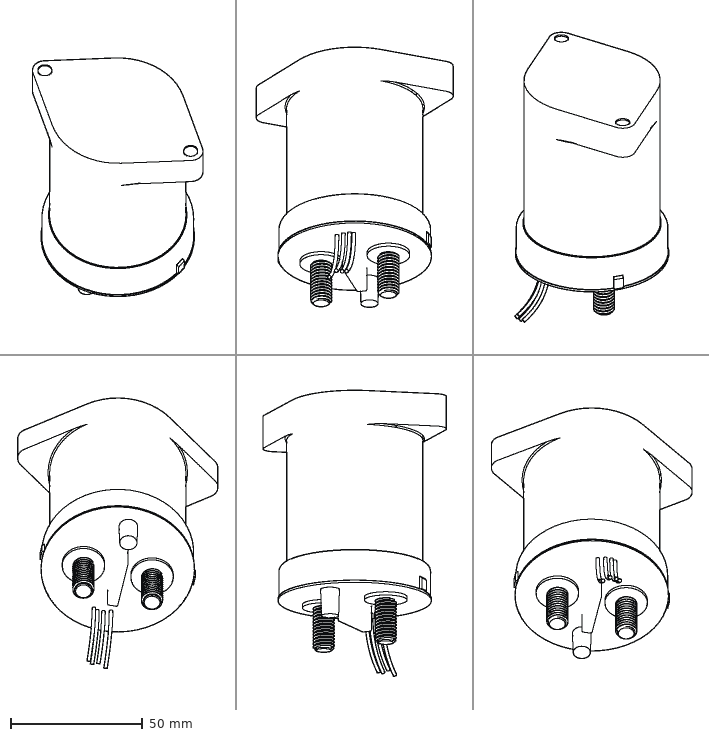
import cadquery as cq
import math

TOTAL_HEIGHT = 99.5
WIRE_REACH_DOWN = 23.3
TOP_Z = TOTAL_HEIGHT - WIRE_REACH_DOWN

BODY_RADIUS = 26.0

EAR_SPAN = 77.7
EAR_HOLE_X = 34.1
EAR_TIP_RADIUS = EAR_SPAN / 2 - EAR_HOLE_X
EAR_THICKNESS = 12.7
EAR_FILLET = 0.6
EAR_HOLE_RADIUS = 2.7
EAR_HOLE_DEPTH = 0.6

CAP_RADIUS = 29.0
CAP_HEIGHT = 13.3
CAP_FILLET = 2.0
LIP_RADIUS = 29.3
LIP_HEIGHT = 0.9
BEAD_RADIUS = 26.4
BEAD_HEIGHT = 0.3

TAB_REACH = 29.9
TAB_WIDTH = 3.8
TAB_TOP_Z = 5.9
TAB_CHAMFER = 0.8

STUD_X = 13.3
WASHER_RADIUS = 16.2 / 2
WASHER_THICKNESS = 1.3
STUD_LENGTH = 18.0
STUD_RADIUS = 4.1
THREAD_ROOT_RADIUS = 3.4
THREAD_TURNS = 13.4
THREAD_PITCH = (STUD_LENGTH - WASHER_THICKNESS) / THREAD_TURNS
THREAD_ROOT_WIDTH = 0.9 * THREAD_PITCH
THREAD_CREST_WIDTH = THREAD_PITCH / 8
THREAD_SINK = 0.1
STUD_TIP_RADIUS = 3.0

BARRIER_THICKNESS = 4.0
BARRIER_WIDTH = 20.5
BARRIER_DEPTH = 10.1
BARRIER_FILLET = 0.6

POST_Y = -20.3
POST_TOP_RADIUS = 3.6
POST_BOTTOM_RADIUS = 3.3
POST_LENGTH = 10.4

WIRE_RADIUS = 0.7
WIRE_END_ANGLE = math.radians(52)
LONGEST_WIRE_DEPTH = WIRE_REACH_DOWN - WIRE_RADIUS * math.sin(WIRE_END_ANGLE)
WIRES = [
    (-5.3, 19.7, 29.8, 20.8),
    (-3.8, 20.5, 30.7, 21.1),
    (-1.4, 20.5, 30.4, 20.4),
    (1.4, 19.7, 30.4, LONGEST_WIRE_DEPTH),
]

OVERLAP = 0.5


def cylinder(radius, bottom, top):
    return cq.Workplane("XY", origin=(0, 0, bottom)).circle(radius).extrude(top - bottom)


def ear_outline():
    """Body circle and two tip circles joined by their common tangent lines."""
    normal_x = (BODY_RADIUS - EAR_TIP_RADIUS) / EAR_HOLE_X
    normal_y = math.sqrt(1 - normal_x**2)
    body_x, body_y = BODY_RADIUS * normal_x, BODY_RADIUS * normal_y
    tip_x = EAR_HOLE_X + EAR_TIP_RADIUS * normal_x
    tip_y = EAR_TIP_RADIUS * normal_y
    end_x = EAR_SPAN / 2
    return (
        cq.Workplane("XY")
        .moveTo(-body_x, body_y)
        .threePointArc((0, BODY_RADIUS), (body_x, body_y))
        .lineTo(tip_x, tip_y)
        .threePointArc((end_x, 0), (tip_x, -tip_y))
        .lineTo(body_x, -body_y)
        .threePointArc((0, -BODY_RADIUS), (-body_x, -body_y))
        .lineTo(-tip_x, -tip_y)
        .threePointArc((-end_x, 0), (-tip_x, tip_y))
        .close()
    )


def make_ears():
    underside_z = TOP_Z - EAR_THICKNESS
    plate = ear_outline().extrude(EAR_THICKNESS).translate((0, 0, underside_z))

    corner = EAR_FILLET * (1 - math.sqrt(0.5))
    fillet_ring = (
        cq.Workplane("XZ")
        .moveTo(BODY_RADIUS - OVERLAP, underside_z - EAR_FILLET)
        .lineTo(BODY_RADIUS, underside_z - EAR_FILLET)
        .threePointArc(
            (BODY_RADIUS + corner, underside_z - corner),
            (BODY_RADIUS + EAR_FILLET, underside_z),
        )
        .lineTo(BODY_RADIUS + EAR_FILLET, underside_z + OVERLAP)
        .lineTo(BODY_RADIUS - OVERLAP, underside_z + OVERLAP)
        .close()
        .revolve(360, (0, 0, 0), (0, 1, 0))
    )
    trim = ear_outline().extrude(EAR_THICKNESS).translate((0, 0, underside_z - EAR_FILLET))
    return plate.union(fillet_ring.intersect(trim))


def ear_holes():
    return (
        cq.Workplane("XY", origin=(0, 0, TOP_Z - EAR_HOLE_DEPTH))
        .pushPoints([(-EAR_HOLE_X, 0), (EAR_HOLE_X, 0)])
        .circle(EAR_HOLE_RADIUS)
        .extrude(EAR_HOLE_DEPTH)
    )


def make_tab():
    """Latch tab on the +X side with a sloped top."""
    inner_x = CAP_RADIUS - 2 * OVERLAP
    return (
        cq.Workplane("XZ", origin=(0, TAB_WIDTH / 2, 0))
        .moveTo(inner_x, LIP_HEIGHT)
        .lineTo(TAB_REACH, LIP_HEIGHT)
        .lineTo(TAB_REACH, TAB_TOP_Z - TAB_CHAMFER)
        .lineTo(TAB_REACH - TAB_CHAMFER, TAB_TOP_Z)
        .lineTo(inner_x, TAB_TOP_Z)
        .close()
        .extrude(TAB_WIDTH)
    )


def make_cap():
    shell = cylinder(CAP_RADIUS, 0, CAP_HEIGHT).faces(">Z").edges().fillet(CAP_FILLET)
    lip = cylinder(LIP_RADIUS, 0, LIP_HEIGHT)
    bead = cylinder(BEAD_RADIUS, CAP_HEIGHT - OVERLAP, CAP_HEIGHT + BEAD_HEIGHT)
    tab = make_tab()
    return shell.union(lip).union(bead).union(tab).union(tab.mirror("YZ"))


def make_stud():
    """Washer and threaded stud, centred on the Z axis."""
    washer = cylinder(WASHER_RADIUS, -WASHER_THICKNESS, OVERLAP)
    core = cylinder(THREAD_ROOT_RADIUS, -STUD_LENGTH, 0)

    ridge_bottom = -STUD_LENGTH + THREAD_PITCH / 2
    ridge_height = STUD_LENGTH - WASHER_THICKNESS - THREAD_PITCH / 2
    root = THREAD_ROOT_RADIUS - THREAD_SINK
    half_root = THREAD_ROOT_WIDTH / 2
    half_crest = THREAD_CREST_WIDTH / 2
    helix = cq.Wire.makeHelix(THREAD_PITCH, ridge_height, root)
    ridge = (
        cq.Workplane("XZ")
        .moveTo(root, -half_root)
        .lineTo(STUD_RADIUS, -half_crest)
        .lineTo(STUD_RADIUS, half_crest)
        .lineTo(root, half_root)
        .close()
        .sweep(cq.Workplane("XY").newObject([helix]), isFrenet=True)
        .translate((0, 0, ridge_bottom))
    )

    envelope = (
        cylinder(STUD_RADIUS + OVERLAP, -STUD_LENGTH, 0)
        .faces("<Z")
        .edges()
        .chamfer(STUD_RADIUS + OVERLAP - STUD_TIP_RADIUS)
    )
    return core.union(ridge).intersect(envelope).union(washer)


def make_barrier():
    """Rounded plate between the studs with a fillet where it leaves the cap."""
    plate = (
        cq.Workplane("XY")
        .rect(BARRIER_THICKNESS, BARRIER_WIDTH)
        .extrude(-BARRIER_DEPTH)
        .edges("|Z or <Z")
        .fillet(BARRIER_FILLET)
    )
    foot_x = BARRIER_THICKNESS / 2 + BARRIER_FILLET
    foot_y = BARRIER_WIDTH / 2 + BARRIER_FILLET
    base = cq.Workplane("XY").rect(4 * foot_x, 4 * foot_y).extrude(OVERLAP)
    foot_edges = cq.selectors.BoxSelector((-foot_x, -foot_y, -OVERLAP / 2), (foot_x, foot_y, OVERLAP / 2))
    return base.union(plate).edges(foot_edges).fillet(BARRIER_FILLET)


def make_post():
    return (
        cq.Workplane("XZ", origin=(0, POST_Y, 0))
        .moveTo(0, OVERLAP)
        .lineTo(POST_TOP_RADIUS, OVERLAP)
        .lineTo(POST_TOP_RADIUS, 0)
        .lineTo(POST_BOTTOM_RADIUS, -POST_LENGTH)
        .lineTo(0, -POST_LENGTH)
        .close()
        .revolve(360, (0, 0, 0), (0, 1, 0))
    )


def make_wire(x, start_y, end_y, depth):
    """Round wire that leaves the cap straight down, then bends toward +Y."""
    path = (
        cq.Workplane("YZ", origin=(x, 0, 0))
        .spline(
            [(start_y, OVERLAP), (end_y, -depth)],
            tangents=[(0, -1), (math.sin(WIRE_END_ANGLE), -math.cos(WIRE_END_ANGLE))],
        )
    )
    return cq.Workplane("XY", origin=(x, start_y, OVERLAP)).circle(WIRE_RADIUS).sweep(path)


result = cylinder(BODY_RADIUS, OVERLAP, TOP_Z)
result = result.union(make_ears()).cut(ear_holes())
result = result.union(make_cap())
result = result.union(make_barrier()).union(make_post())
for wire in WIRES:
    result = result.union(make_wire(*wire))
stud = make_stud()
for side in (-1, 1):
    result = result.union(stud.translate((side * STUD_X, 0, 0)))